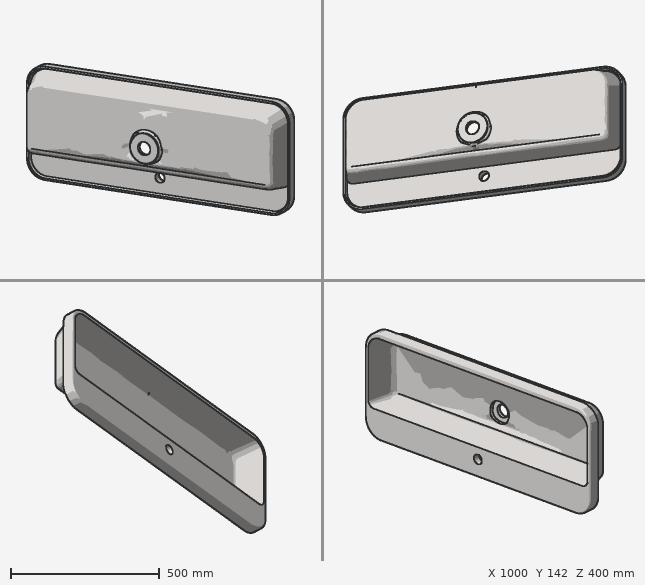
import cadquery as cq
import math

LENGTH = 1000.0
HEIGHT = 400.0
TOTAL_DEPTH = 142.0

RIM_DEPTH = 40.0
RIM_CORNER = 70.0
RIM_ROUND = 7.0
LIP_WIDTH = 7.0
RECESS_DEPTH = 12.0
RECESS_INSET = 4.0

BOWL_HALF_LENGTH = 488.0
BOWL_TOP = 185.0
BOWL_BOTTOM = -99.0
END_DRAFT = 17.0
TOP_DRAFT = 14.0
BOTTOM_DRAFT = 5.0
TOP_CORNER = 65.0
BOTTOM_CORNER = 24.0
BOWL_DEPTH = 112.0
FLOOR_ROUND = 23.0
WALL = 15.0

DRAIN_DEPTH = 128.0
DRAIN_FLARE_RADIUS = 62.0
DRAIN_FLARE_STEPS = 8
DRAIN_RADIUS = 53.0
DRAIN_RING = 6.0
DRAIN_HOLE = 47.0
DRAIN_WELL = 84.0
DRAIN_FLOOR = 14.0
TAP_HOLE = 35.0
TAP_Z = -133.0


def at_depth(depth):
    """Workplane parallel to the rim face, with local axes X and Z."""
    return cq.Workplane("XZ", origin=(0, -depth, 0))


def circle_at(depth, radius):
    return at_depth(depth).circle(radius).val()


def rounded_outline(depth, half, bottom, top, bottom_corner, top_corner):
    """Rectangle with its own corner radius at the bottom and at the top."""
    return (
        at_depth(depth)
        .moveTo(bottom_corner - half, bottom)
        .lineTo(half - bottom_corner, bottom)
        .radiusArc((half, bottom + bottom_corner), -bottom_corner)
        .lineTo(half, top - top_corner)
        .radiusArc((half - top_corner, top), -top_corner)
        .lineTo(top_corner - half, top)
        .radiusArc((-half, top - top_corner), -top_corner)
        .lineTo(-half, bottom + bottom_corner)
        .radiusArc((bottom_corner - half, bottom), -bottom_corner)
        .wire()
        .val()
    )


def rim_outline(depth, inset):
    """Section of the rim, moved inwards from its outer edge by the inset."""
    half_height = HEIGHT / 2 - inset
    corner = RIM_CORNER - inset
    return rounded_outline(depth, LENGTH / 2 - inset, -half_height, half_height, corner, corner)


def bowl_outline(depth, inset):
    """Section of the bowl, narrower the deeper it lies."""
    below_lip = depth - RIM_DEPTH

    def lean(draft):
        return below_lip * math.tan(math.radians(draft)) + inset

    half = BOWL_HALF_LENGTH - lean(END_DRAFT)
    bottom = BOWL_BOTTOM + lean(BOTTOM_DRAFT)
    top = BOWL_TOP - lean(TOP_DRAFT)
    return rounded_outline(depth, half, bottom, top, BOTTOM_CORNER, TOP_CORNER - inset)


def loft(first, second):
    return cq.Workplane(cq.Solid.makeLoft([first, second], True))


def dished_floor(flat_face, drain_depth, foot_radius):
    """Solid between the flat face and a smooth dish through the foot of the drain."""
    angles = [2 * math.pi * step / DRAIN_FLARE_STEPS for step in range(DRAIN_FLARE_STEPS)]
    drain_foot = [
        cq.Vector(foot_radius * math.cos(angle), -drain_depth, foot_radius * math.sin(angle))
        for angle in angles
    ]
    dish = cq.Face.makeNSidedSurface(flat_face.outerWire().Edges(), drain_foot)
    return cq.Workplane(cq.Solid.makeSolid(cq.Shell.makeShell([dish, flat_face])))


def bowl(start_depth, inset):
    """Leaning walls, rounded floor edge and a floor sloping to the drain; the inset makes its inner side."""
    walls = loft(bowl_outline(start_depth, inset), bowl_outline(BOWL_DEPTH - inset, inset))
    walls = walls.faces("<Y").edges().fillet(FLOOR_ROUND)
    flat_face = walls.faces("<Y").val()
    return walls.union(dished_floor(flat_face, DRAIN_DEPTH - inset, DRAIN_FLARE_RADIUS - inset))


def rim():
    slab = loft(rim_outline(0, 0), rim_outline(RIM_DEPTH, 0))
    slab = slab.faces(">Y").edges().fillet(RIM_ROUND)
    recess = loft(
        rim_outline(RIM_DEPTH, LIP_WIDTH),
        rim_outline(RIM_DEPTH - RECESS_DEPTH, LIP_WIDTH + RECESS_INSET),
    )
    return slab.cut(recess)


def drain():
    ring_start = TOTAL_DEPTH - DRAIN_RING
    flare = loft(circle_at(DRAIN_DEPTH, DRAIN_FLARE_RADIUS), circle_at(ring_start, DRAIN_RADIUS))
    ring = at_depth(ring_start).circle(DRAIN_RADIUS).extrude(DRAIN_RING)
    return flare.union(ring)


body = rim().union(bowl(RIM_DEPTH - RECESS_DEPTH, 0)).union(drain())
cavity = bowl(0, WALL)
drain_well = at_depth(0).circle(DRAIN_WELL / 2).extrude(TOTAL_DEPTH - DRAIN_FLOOR)
drain_hole = at_depth(0).circle(DRAIN_HOLE / 2).extrude(TOTAL_DEPTH)
tap_hole = at_depth(0).center(0, TAP_Z).circle(TAP_HOLE / 2).extrude(RIM_DEPTH)

result = body.cut(cavity).cut(drain_well).cut(drain_hole).cut(tap_hole)